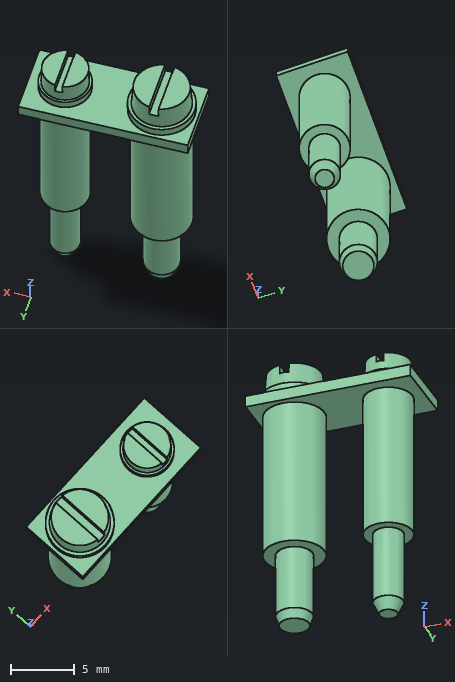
import cadquery as cq

plate_length = 13.9
plate_width = 6.0
plate_thickness = 1.0

large_screw = dict(
    center_x=plate_width / 2,
    head_top_diameter=4.5, head_base_diameter=4.8, head_height=2.0,
    slot_width=0.75, slot_depth=0.8,
    flange_diameter=5.4, flange_height=0.7,
    sleeve_diameter=5.0, sleeve_length=12.5,
    pin_diameter=3.0, pin_length=5.5,
    tip_diameter=2.45, tip_length=0.8,
)
small_screw = dict(
    center_x=10.9,
    head_top_diameter=3.7, head_base_diameter=3.8, head_height=1.6,
    slot_width=0.6, slot_depth=0.7,
    flange_diameter=4.25, flange_height=0.65,
    sleeve_diameter=4.0, sleeve_length=12.22,
    pin_diameter=2.5, pin_length=6.15,
    tip_diameter=1.5, tip_length=1.0,
)


def make_screw(
    center_x,
    head_top_diameter, head_base_diameter, head_height,
    slot_width, slot_depth,
    flange_diameter, flange_height,
    sleeve_diameter, sleeve_length,
    pin_diameter, pin_length,
    tip_diameter, tip_length,
):
    """Revolve a stepped screw through the plate and cut its driver slot along Y."""
    flange_top = plate_thickness + flange_height
    head_top = flange_top + head_height
    sleeve_end = -sleeve_length
    pin_end = sleeve_end - pin_length
    tip_end = pin_end - tip_length

    half_profile = [
        (0, head_top),
        (head_top_diameter / 2, head_top),
        (head_base_diameter / 2, flange_top),
        (flange_diameter / 2, flange_top),
        (flange_diameter / 2, plate_thickness),
        (sleeve_diameter / 2, plate_thickness),
        (sleeve_diameter / 2, sleeve_end),
        (pin_diameter / 2, sleeve_end),
        (pin_diameter / 2, pin_end),
        (tip_diameter / 2, tip_end),
        (0, tip_end),
    ]
    body = cq.Workplane("XZ").polyline(half_profile).close().revolve(360, (0, 0), (0, 1))
    slot = (
        cq.Workplane("XY", origin=(0, 0, head_top - slot_depth))
        .rect(slot_width, flange_diameter)
        .extrude(slot_depth)
    )
    return body.cut(slot).translate((center_x, plate_width / 2, 0))


result = cq.Workplane("XY").box(plate_length, plate_width, plate_thickness, centered=False)
for screw in (large_screw, small_screw):
    result = result.union(make_screw(**screw))